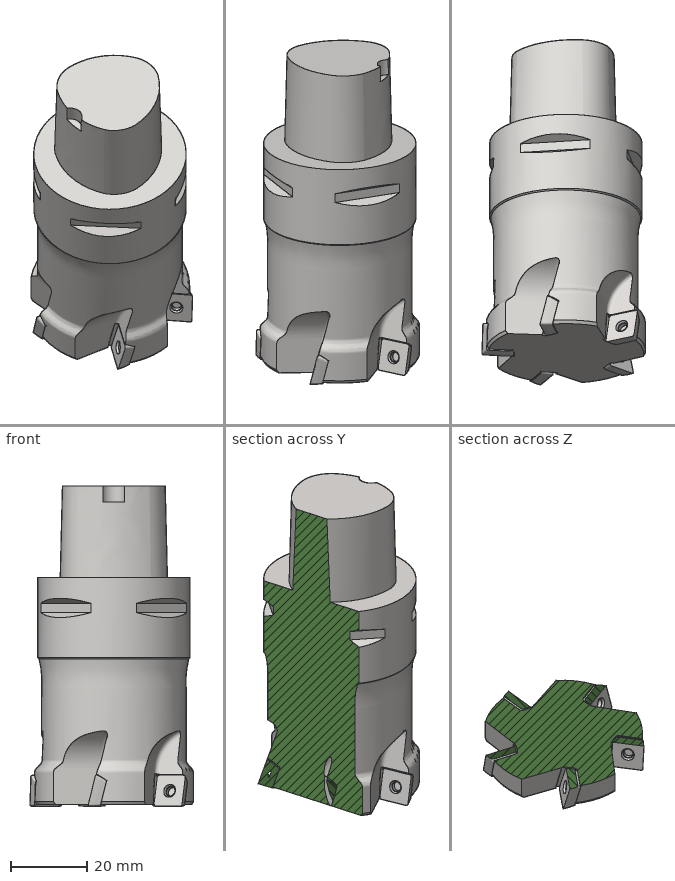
import cadquery as cq
import math

TOTAL_HEIGHT = 84.0
SHANK_BASE_Z = 60.0
COLLAR_BASE_Z = 38.6
NECK_TOP_Z = 31.1
WAIST_Z = 34.4
HEAD_TOP_Z = 12.2
HEAD_BASE_Z = 0.4

COLLAR_RADIUS = 40.0 / 2
NECK_RADIUS = 38.0 / 2
HEAD_RADIUS = 20.9
COLLAR_CHAMFER = 0.3
HEAD_BLEND_RADIUS = 1.85
HEAD_CHAMFER_WIDTH = 0.5
HEAD_CHAMFER_HEIGHT = 0.8

SHANK_BASE_RADIUS = 14.0
SHANK_TOP_RADIUS = 13.4
LOBE_COUNT = 3
LOBE_HEIGHT = 0.75
LOBE_HALF_ANGLE = 20.0
NOTCH_DIAMETER = 6.2
NOTCH_DEPTH = 4.2
NOTCH_AXIS_Y = -13.9

SLOT_COUNT = 4
SLOT_Z = 52.0
SLOT_FLAT_DISTANCE = 17.7
SLOT_FLAT_HEIGHT = 2.4
SLOT_SIDE_ANGLE = 30.0

TOOTH_COUNT = 5
TOOTH_PITCH = 360.0 / TOOTH_COUNT
FIRST_TOOTH_ANGLE = 180.0
CUTTING_RADIUS = 22.0
AXIAL_RAKE = 14.0
RADIAL_RAKE = 7.0

GULLET_DEPTH_RADIUS = 13.3
GULLET_FLOOR_ANGLE = 23.0
GULLET_RUNOUT_RADIUS = 10.9
GULLET_RUNOUT_Z = 9.9
GULLET_CORNER_RADIUS = 1.0

INSERT_WIDTH = 8.4
INSERT_HEIGHT = 8.4
INSERT_CORNER_RADIUS = 0.5
INSERT_LAND = 1.5
INSERT_THICKNESS = 3.0
INSERT_LAND_ANGLE = 14.0
INSERT_HEEL_ANGLE = 18.0
SEAT_CLEARANCE = 0.25
SINK_MOUTH_DIAMETER = 3.45
SINK_BASE_DIAMETER = 2.8
SINK_DEPTH = 0.6
RECESS_DIAMETER = 2.5
RECESS_DEPTH = 1.7

REACH = 50.4


def turned_body():
    """Collar, neck and cutting head revolved about Z."""
    blend_r = HEAD_BLEND_RADIUS
    slope = math.radians(45)
    blend_width = blend_r * (1 - math.cos(slope))
    blend_height = blend_r * math.sin(slope)
    half_slope = slope / 2
    half_width = blend_r * (1 - math.cos(half_slope))
    half_height = blend_r * math.sin(half_slope)
    cone_height = HEAD_RADIUS - NECK_RADIUS - 2 * blend_width
    head_corner_z = HEAD_TOP_Z - 2 * blend_height - cone_height
    profile = (
        cq.Workplane("XZ")
        .moveTo(0, HEAD_BASE_Z)
        .lineTo(HEAD_RADIUS - HEAD_CHAMFER_WIDTH, HEAD_BASE_Z)
        .lineTo(HEAD_RADIUS, HEAD_BASE_Z + HEAD_CHAMFER_HEIGHT)
        .lineTo(HEAD_RADIUS, head_corner_z)
        .threePointArc(
            (HEAD_RADIUS - half_width, head_corner_z + half_height),
            (HEAD_RADIUS - blend_width, head_corner_z + blend_height),
        )
        .lineTo(NECK_RADIUS + blend_width, HEAD_TOP_Z - blend_height)
        .threePointArc((NECK_RADIUS + half_width, HEAD_TOP_Z - half_height), (NECK_RADIUS, HEAD_TOP_Z))
        .lineTo(NECK_RADIUS, NECK_TOP_Z)
        .threePointArc((NECK_RADIUS, WAIST_Z), (COLLAR_RADIUS - COLLAR_CHAMFER, COLLAR_BASE_Z))
        .lineTo(COLLAR_RADIUS, COLLAR_BASE_Z + COLLAR_CHAMFER)
        .lineTo(COLLAR_RADIUS, SHANK_BASE_Z)
        .lineTo(0, SHANK_BASE_Z)
        .close()
    )
    return profile.revolve(360, (0, 0, 0), (0, 1, 0))


def lobed_point(mean_radius, degrees, z):
    """Point of the three-lobed curve; zero degrees is the peak of the lobe toward +Y."""
    a = math.radians(degrees)
    along = mean_radius * math.cos(a) + LOBE_HEIGHT * math.cos(2 * a)
    across = mean_radius * math.sin(a) - LOBE_HEIGHT * math.sin(2 * a)
    return cq.Vector(-across, along, z)


def lobed_wire(mean_radius, z):
    """Closed outline of three tight lobe arcs joined by three flatter flank arcs."""
    pitch = 360.0 / LOBE_COUNT
    edges = []
    for lobe in range(LOBE_COUNT):
        peak = lobe * pitch
        lobe_end = peak + LOBE_HALF_ANGLE
        arc_angles = [
            (peak - LOBE_HALF_ANGLE, peak, lobe_end),
            (lobe_end, peak + pitch / 2, peak + pitch - LOBE_HALF_ANGLE),
        ]
        for angles in arc_angles:
            edges.append(cq.Edge.makeThreePointArc(*[lobed_point(mean_radius, a, z) for a in angles]))
    return cq.Wire.assembleEdges(edges)


def shank():
    """Tapered three-lobed shank with a round-backed notch in its top rim."""
    taper = cq.Solid.makeLoft(
        [lobed_wire(SHANK_BASE_RADIUS, SHANK_BASE_Z), lobed_wire(SHANK_TOP_RADIUS, TOTAL_HEIGHT)], True
    )
    notch = (
        cq.Workplane("XY", origin=(0, NOTCH_AXIS_Y, TOTAL_HEIGHT - NOTCH_DEPTH))
        .circle(NOTCH_DIAMETER / 2)
        .extrude(NOTCH_DEPTH)
    )
    return cq.Workplane(taper).cut(notch)


def gripper_slot():
    """Straight slot with flared sides, facing +X."""
    half_floor = SLOT_FLAT_HEIGHT / 2
    depth = COLLAR_RADIUS - SLOT_FLAT_DISTANCE
    half_mouth = half_floor + depth * math.tan(math.radians(SLOT_SIDE_ANGLE))
    return (
        cq.Workplane("XZ", origin=(0, 0, SLOT_Z))
        .polyline([
            (SLOT_FLAT_DISTANCE, -half_floor),
            (COLLAR_RADIUS, -half_mouth),
            (COLLAR_RADIUS, half_mouth),
            (SLOT_FLAT_DISTANCE, half_floor),
        ])
        .close()
        .extrude(COLLAR_RADIUS, both=True)
    )


def rake_plane():
    """Rake face of a tooth on +X: origin at the cutting tip, x outward, y up, normal leading (-Y)."""
    radial = math.radians(RADIAL_RAKE)
    axial = math.radians(AXIAL_RAKE)
    outward = (math.cos(radial), math.sin(radial), 0)
    leading = (
        math.sin(radial) * math.cos(axial),
        -math.cos(radial) * math.cos(axial),
        math.sin(axial),
    )
    return cq.Plane(origin=(CUTTING_RADIUS, 0, 0), xDir=outward, normal=leading)


def gullet():
    """Chip space ahead of a tooth on +X: flat floor, run-out arc above, rake face behind."""
    runout = GULLET_RUNOUT_RADIUS
    half = runout * math.sqrt(0.5)
    cos_floor = math.cos(math.radians(GULLET_FLOOR_ANGLE))
    sin_floor = math.sin(math.radians(GULLET_FLOOR_ANGLE))
    floor_plane = cq.Plane(
        origin=(GULLET_DEPTH_RADIUS, 0, 0),
        xDir=(cos_floor, sin_floor, 0),
        normal=(sin_floor, -cos_floor, 0),
    )
    trough = (
        cq.Workplane(floor_plane)
        .moveTo(0, -HEAD_RADIUS)
        .lineTo(0, GULLET_RUNOUT_Z)
        .threePointArc((runout - half, GULLET_RUNOUT_Z + half), (runout, GULLET_RUNOUT_Z + runout))
        .lineTo(REACH, GULLET_RUNOUT_Z + runout)
        .lineTo(REACH, -HEAD_RADIUS)
        .close()
        .extrude(REACH / 2, both=True)
    )
    ahead_of_rake = cq.Workplane(rake_plane()).rect(2 * REACH, 2 * REACH).extrude(REACH)
    space = trough.intersect(ahead_of_rake)
    floor_corner = cq.selectors.NearestToPointSelector((GULLET_DEPTH_RADIUS, 0, 0))
    rake_face = space.faces(cq.selectors.ParallelDirSelector(rake_plane().zDir))
    return rake_face.edges(floor_corner).fillet(GULLET_CORNER_RADIUS)


def insert_layer(width, height, front_depth, back_depth, front_inset, back_inset):
    """Rounded block behind the rake face, tapering from the front inset to the back inset."""

    def outline(inset, depth):
        flat = cq.Sketch().rect(width - 2 * inset, height - 2 * inset)
        return flat.vertices().fillet(INSERT_CORNER_RADIUS).moved(cq.Location(cq.Vector(0, 0, -depth)))

    layer = cq.Workplane(rake_plane()).center(-width / 2, height / 2)
    return layer.placeSketch(outline(front_inset, front_depth), outline(back_inset, back_depth)).loft()


def insert_block(clearance=0.0):
    """Solid insert shape with a two-stage flank; any clearance grows it upward and inward."""
    width = INSERT_WIDTH + clearance
    height = INSERT_HEIGHT + clearance
    heel = INSERT_THICKNESS - INSERT_LAND
    land_inset = INSERT_LAND * math.tan(math.radians(INSERT_LAND_ANGLE))
    back_inset = land_inset + heel * math.tan(math.radians(INSERT_HEEL_ANGLE))
    land_layer = insert_layer(width, height, 0, INSERT_LAND, 0, land_inset)
    heel_layer = insert_layer(width, height, INSERT_LAND, INSERT_THICKNESS, land_inset, back_inset)
    return land_layer.union(heel_layer)


def insert_seat():
    """Clearance pocket for one insert, open through the rounded gullet corner ahead of it."""
    width = INSERT_WIDTH + SEAT_CLEARANCE
    height = INSERT_HEIGHT + SEAT_CLEARANCE
    opening = (
        cq.Workplane(rake_plane())
        .center(-width / 2, height / 2)
        .rect(width, height)
        .extrude(GULLET_CORNER_RADIUS)
    )
    return insert_block(SEAT_CLEARANCE).union(opening)


def insert_center():
    """Workplane on the rake face at the middle of the insert."""
    return cq.Workplane(rake_plane()).center(-INSERT_WIDTH / 2, INSERT_HEIGHT / 2)


def cutting_insert():
    """Insert for a tooth on +X, with a stepped blind recess in the middle of its rake face."""
    recess = insert_center().circle(RECESS_DIAMETER / 2).extrude(-RECESS_DEPTH)
    sink = (
        insert_center()
        .circle(SINK_MOUTH_DIAMETER / 2)
        .workplane(offset=-SINK_DEPTH)
        .circle(SINK_BASE_DIAMETER / 2)
        .loft()
    )
    return insert_block().cut(recess).cut(sink)


def at_tooth(shape, index):
    """Turn a shape built on +X to the position of one tooth."""
    return shape.rotate((0, 0, 0), (0, 0, 1), FIRST_TOOTH_ANGLE + index * TOOTH_PITCH)


cutter_body = turned_body().union(shank())

for slot in range(SLOT_COUNT):
    slot_angle = (slot + 0.5) * 360.0 / SLOT_COUNT
    cutter_body = cutter_body.cut(gripper_slot().rotate((0, 0, 0), (0, 0, 1), slot_angle))

tooth_cut = gullet().union(insert_seat())
for tooth in range(TOOTH_COUNT):
    cutter_body = cutter_body.cut(at_tooth(tooth_cut, tooth))

inserts = [at_tooth(cutting_insert(), tooth) for tooth in range(TOOTH_COUNT)]

result = cq.Compound.makeCompound([cutter_body.val(), *[insert.val() for insert in inserts]])